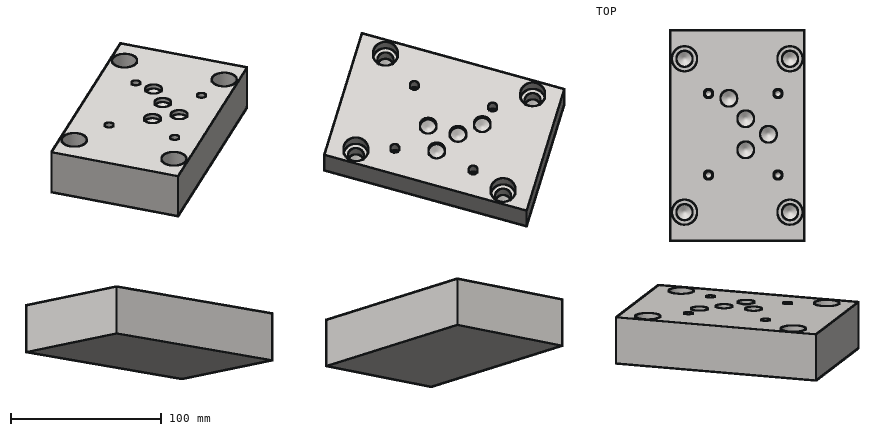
import cadquery as cq
import math

BLOCK_X = 88.9
BLOCK_Y = 139.7
BLOCK_Z = 31.75
TOP_Z = BLOCK_Z / 2

DRILL_POINT_ANGLE = 120.0

MOUNT_SPACING_X = 69.85
MOUNT_SPACING_Y = 101.6
MOUNT_BORE_DIAMETER = 16.66
MOUNT_BORE_DEPTH = 12.7
MOUNT_DRILL_DIAMETER = 10.72
MOUNT_DRILL_DEPTH = 25.4

DATUM_EDGE_DISTANCE_X = 25.4
DATUM_EDGE_DISTANCE_Y = 42.05
DATUM_X = DATUM_EDGE_DISTANCE_X - BLOCK_X / 2
DATUM_Y = BLOCK_Y / 2 - DATUM_EDGE_DISTANCE_Y

BOLT_SPACING_X = 46.0
BOLT_SPACING_Y = 54.0
BOLT_THREAD_DIAMETER = 5.99
BOLT_THREAD_DEPTH = 12.0
BOLT_DRILL_DIAMETER = 5.0
BOLT_DRILL_DEPTH = 16.0

PORT_DIAMETER = 11.11
PORT_DEPTH = 3.3
PORT_OFFSETS = [
    (13.5, 3.2),
    (24.6, 16.7),
    (39.7, 27.0),
    (24.6, 37.3),
]


def bore(diameter, depth):
    """Flat-bottomed cutter reaching down from the top face."""
    return cq.Workplane("XY", origin=(0, 0, TOP_Z)).circle(diameter / 2).extrude(-depth)


def drill(diameter, depth):
    """Cutter with a conical tip below its full-diameter depth."""
    radius = diameter / 2
    tip_length = radius / math.tan(math.radians(DRILL_POINT_ANGLE / 2))
    profile = [
        (0, TOP_Z),
        (radius, TOP_Z),
        (radius, TOP_Z - depth),
        (0, TOP_Z - depth - tip_length),
    ]
    return cq.Workplane("XZ").polyline(profile).close().revolve(360, (0, 0), (0, 1))


def cut_at(body, cutter, points):
    """Cut the same tool from the body at each XY point."""
    for x, y in points:
        body = body.cut(cutter.translate((x, y, 0)))
    return body


def cut_mounting_holes(body):
    points = [
        (side_x * MOUNT_SPACING_X / 2, side_y * MOUNT_SPACING_Y / 2)
        for side_x in (-1, 1)
        for side_y in (-1, 1)
    ]
    counterbore = bore(MOUNT_BORE_DIAMETER, MOUNT_BORE_DEPTH)
    cutter = drill(MOUNT_DRILL_DIAMETER, MOUNT_DRILL_DEPTH).union(counterbore)
    return cut_at(body, cutter, points)


def cut_bolt_holes(body):
    points = [
        (DATUM_X + column * BOLT_SPACING_X, DATUM_Y - row * BOLT_SPACING_Y)
        for column in (0, 1)
        for row in (0, 1)
    ]
    thread_bore = bore(BOLT_THREAD_DIAMETER, BOLT_THREAD_DEPTH)
    cutter = drill(BOLT_DRILL_DIAMETER, BOLT_DRILL_DEPTH).union(thread_bore)
    return cut_at(body, cutter, points)


def cut_ports(body):
    points = [(DATUM_X + right, DATUM_Y - down) for right, down in PORT_OFFSETS]
    return cut_at(body, drill(PORT_DIAMETER, PORT_DEPTH), points)


block = cq.Workplane("XY").box(BLOCK_X, BLOCK_Y, BLOCK_Z)
result = cut_ports(cut_bolt_holes(cut_mounting_holes(block)))